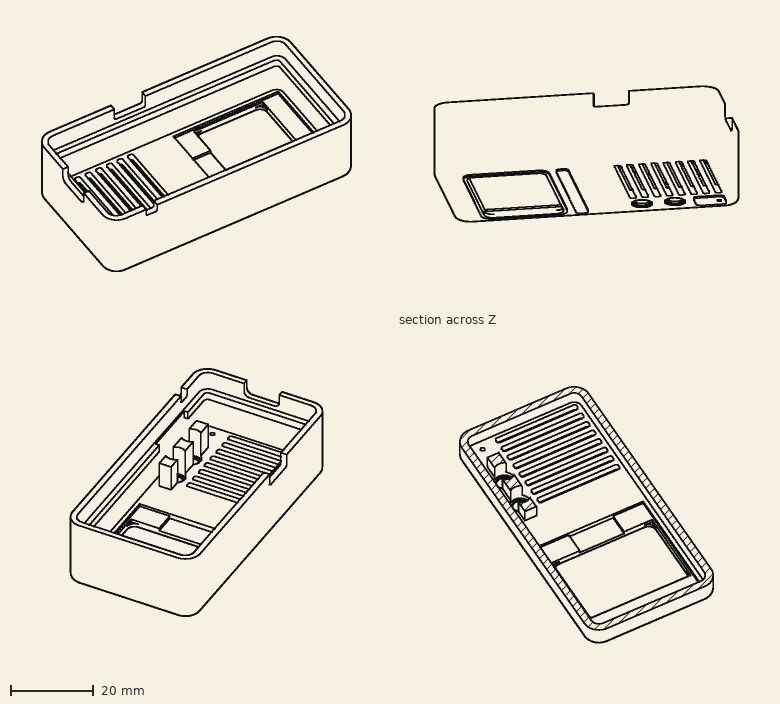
import cadquery as cq

length = 69.7
width = 35.0
body_height = 18.0
plate_rise = 0.4
corner_radius = 4.05
bottom_fillet = 1.0

rim_side_wall = 1.6
rim_end_wall = 1.45
lip_wall = 3.0
undercut_wall = 2.0
rim_depth = 5.0
lip_depth = 2.0
floor_thickness = 2.0

lip_gap_top_y = -8.0
lip_gap_bottom_y = -22.7

recess_width = 28.7
recess_bottom_y = 2.2
recess_depth = 0.7
window_width = 27.6
window_top_y = 27.2
window_bottom_y = 7.75
window_radius = 2.0
window_lip = 0.5
ribbon_width = 12.2
ribbon_depth = 0.7
bezel_margin = 0.85
bezel_radius = 2.4

slot_count = 8
slot_left_x = -14.4
slot_right_x = 7.8
slot_width = 1.5
slot_pitch = 3.0
slot_radius = 0.5
first_slot_y = -10.1

button_x = 11.9
button_ys = (-11.5, -19.6)
button_diameter = 4.0
button_relief_diameter = 5.0
button_relief_depth = 1.2
button_recess_depth = 0.35
post_width = 3.2
post_top_y = -6.3
post_bottom_y = -25.3
post_height = 7.0
indicator_diameter = 1.05
indicator_y = -30.45

plate_radius = 1.0
bar_width = 29.1
bar_ys = (2.0, 5.0)
panel_width = 4.95
panel_ys = (-31.9, -24.45)

end_notch_width = 9.6
end_notch_depth = 3.8
end_notch_radius = 1.45
left_notch_ys = (-13.5, -4.75)
left_notch_depth = 3.55
left_notch_radius = 0.6
right_notch_ys = (-24.9, -21.8)
right_notch_depth = 2.1
right_notch_radius = 0.5

ledge_z = body_height - rim_depth
lip_bottom_z = ledge_z - lip_depth
recess_z = floor_thickness - recess_depth
half_width = width / 2
half_length = length / 2


def block(x_range, y_range, z_range):
    """Axis-aligned box given by its extents."""
    (x0, x1), (y0, y1), (z0, z1) = x_range, y_range, z_range
    return cq.Workplane("XY").box(x1 - x0, y1 - y0, z1 - z0, centered=False).translate((x0, y0, z0))


def rounded_block(x_range, y_range, z_range, radius):
    return block(x_range, y_range, z_range).edges("|Z").fillet(radius)


def inset_prism(side_wall, end_wall, z0, z1):
    """Rounded prism inset from the outer outline by the wall thicknesses."""
    half_x = half_width - side_wall
    half_y = half_length - end_wall
    return rounded_block((-half_x, half_x), (-half_y, half_y), (z0, z1), corner_radius - side_wall)


def cylinder(x, y, diameter, z0, z1):
    return cq.Workplane("XY", origin=(x, y, z0)).circle(diameter / 2).extrude(z1 - z0)


def make_shell():
    shell = inset_prism(0, 0, 0, body_height).faces("<Z").edges().fillet(bottom_fillet)
    shell = shell.cut(inset_prism(rim_side_wall, rim_end_wall, ledge_z, body_height))
    shell = shell.cut(inset_prism(lip_wall, lip_wall, lip_bottom_z, ledge_z))
    shell = shell.cut(inset_prism(undercut_wall, undercut_wall, floor_thickness, lip_bottom_z))
    lip_gap = block(
        (0, half_width - undercut_wall),
        (lip_gap_bottom_y, lip_gap_top_y),
        (lip_bottom_z, ledge_z),
    )
    return shell.cut(lip_gap)


def add_display(shell):
    """Bezel under the floor, with the stepped window and recess above it."""
    half_window = window_width / 2
    half_bezel = half_window + bezel_margin
    bezel = rounded_block(
        (-half_bezel, half_bezel),
        (window_bottom_y - bezel_margin, window_top_y + bezel_margin),
        (-plate_rise, 0),
        bezel_radius,
    )
    recess = block(
        (-recess_width / 2, recess_width / 2),
        (recess_bottom_y, half_length - lip_wall),
        (recess_z, floor_thickness),
    )
    ribbon = block(
        (-ribbon_width / 2, ribbon_width / 2),
        (recess_bottom_y, window_bottom_y),
        (recess_z - ribbon_depth, recess_z),
    )
    window_ys = (window_bottom_y, window_top_y)
    square_window = block((-half_window, half_window), window_ys, (window_lip, floor_thickness))
    window = rounded_block(
        (-half_window, half_window), window_ys, (-plate_rise, floor_thickness), window_radius
    )
    return shell.union(bezel).cut(recess).cut(ribbon).cut(square_window).cut(window)


def cut_speaker_slots(shell):
    for index in range(slot_count):
        y = first_slot_y - index * slot_pitch
        slot = rounded_block(
            (slot_left_x, slot_right_x),
            (y - slot_width / 2, y + slot_width / 2),
            (0, floor_thickness),
            slot_radius,
        )
        shell = shell.cut(slot)
    return shell


def add_buttons(shell):
    """Posts in line with the buttons, each button hole being relieved above and below a thin flange."""
    post_xs = (button_x - post_width / 2, button_x + post_width / 2)
    posts = block(
        post_xs,
        (post_bottom_y, post_top_y),
        (floor_thickness, floor_thickness + post_height),
    )
    shell = shell.union(posts)
    relief_z = floor_thickness - button_relief_depth
    for y in button_ys:
        shell = shell.cut(cylinder(button_x, y, button_relief_diameter, relief_z, body_height))
        shell = shell.cut(cylinder(button_x, y, button_relief_diameter, 0, button_recess_depth))
        shell = shell.cut(cylinder(button_x, y, button_diameter, 0, floor_thickness))
    return shell


def add_underside_plates(shell):
    """Name bar and indicator panel, with the indicator hole through the panel and floor."""
    plate_zs = (-plate_rise, 0)
    bar = rounded_block((-bar_width / 2, bar_width / 2), bar_ys, plate_zs, plate_radius)
    panel_xs = (button_x - panel_width / 2, button_x + panel_width / 2)
    panel = rounded_block(panel_xs, panel_ys, plate_zs, plate_radius)
    indicator = cylinder(button_x, indicator_y, indicator_diameter, -plate_rise, floor_thickness)
    return shell.union(bar).union(panel).cut(indicator)


def cut_rim_notches(shell):
    end_notch = block(
        (-end_notch_width / 2, end_notch_width / 2),
        (-half_length, rim_end_wall - half_length),
        (body_height - end_notch_depth, body_height),
    ).edges("|Y and <Z").fillet(end_notch_radius)
    left_notch = block(
        (-half_width, rim_side_wall - half_width),
        left_notch_ys,
        (body_height - left_notch_depth, body_height),
    ).edges("|X and <Z").fillet(left_notch_radius)
    right_notch = block(
        (half_width - rim_side_wall, half_width),
        right_notch_ys,
        (body_height - right_notch_depth, body_height),
    ).edges("|X and <Z").fillet(right_notch_radius)
    return shell.cut(end_notch).cut(left_notch).cut(right_notch)


result = make_shell()
result = add_display(result)
result = cut_speaker_slots(result)
result = add_buttons(result)
result = add_underside_plates(result)
result = cut_rim_notches(result)